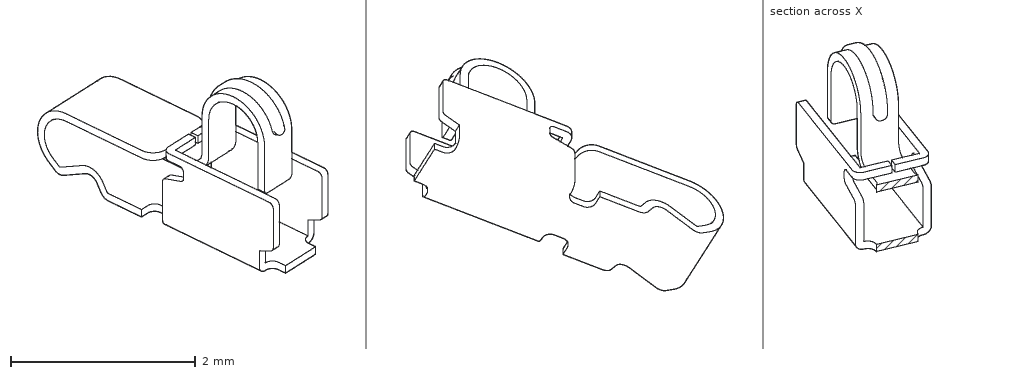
import cadquery as cq
import math

length = 3.4
width = 0.9
height = 2.0
sheet = 0.1

arm_top = 0.87
loop_radius = 0.41
nose_x = 0.323
nose_z = 0.153
nose_radius = 0.017
bump_x = 0.748
bump_radius = 0.225
toe_x = 1.027
toe_radius = 0.035

arm_wide_end = 1.69
arm_corner_radius = 0.185
neck_half_width = 0.225
neck_fillet = 0.055

leg_x = 2.173
arch_radius = 0.452
foot_radius = 0.143
free_leg_bottom = arm_top
free_leg_corner = 0.05

rib_height = 0.05
rib_width = 0.16
rib_edge_radius = 0.03
rib_straight = 0.035
rib_end_angle = 16.5

box_start = 1.802
wall_foot_end = 3.2
wall_top = 1.0
wall_corner_radius = 0.06
wall_step_bottom = 0.303
wall_step_top = 0.39
base_neck_half_width = 0.248
base_notch_start = 1.5
notch_radius = 0.1
bend_radius = 0.095

slot_end = 2.105
slot_lip_height = 0.64
slot_end_height = 0.725
slot_radius = 0.055
tab_gap = 0.04

half_width = width / 2
rib_half_width = rib_width / 2
arm_bottom = arm_top - sheet
loop_x = loop_radius
loop_z = arm_top - loop_radius
arch_x = leg_x + arch_radius
arch_z = height - rib_height - arch_radius
inner_half_width = half_width - sheet
tab_bottom = wall_top - sheet


def polar(centre, radius, angle):
    """Point on a circle, angle in degrees."""
    turn = math.radians(angle)
    return (centre[0] + radius * math.cos(turn), centre[1] + radius * math.sin(turn))


def distance_and_angle(start, end):
    """Length and direction (degrees) of the line between two points."""
    dx = end[0] - start[0]
    dy = end[1] - start[1]
    return math.hypot(dx, dy), math.degrees(math.atan2(dy, dx))


def edge_near(x, y, z):
    """Selector for the one edge whose centre is nearest to a point."""
    return cq.selectors.NearestToPointSelector((x, y, z))


def make_spring():
    """Return loop, nose, bump and toe as one constant-thickness bent strip."""
    loop = (loop_x, loop_z)
    bump = (bump_x, sheet)
    toe = (toe_x, sheet + toe_radius)
    toe_outer = toe_radius + sheet
    nose = (nose_x, nose_z)
    nose_outer = nose_radius + sheet
    loop_inner = loop_radius - sheet
    bump_inner = bump_radius - sheet

    nose_reach, nose_direction = distance_and_angle(loop, nose)
    nose_tilt = math.degrees(math.acos((loop_inner - nose_radius) / nose_reach))
    nose_angle = nose_direction % 360 - nose_tilt
    bump_reach, bump_direction = distance_and_angle(nose, bump)
    bump_tilt = math.degrees(math.asin((bump_radius + nose_radius) / bump_reach))
    nose_normal = bump_direction + bump_tilt + 90
    toe_reach, toe_direction = distance_and_angle(bump, toe)
    toe_tilt = math.degrees(math.acos((bump_radius + toe_radius) / toe_reach))
    toe_normal = toe_direction + toe_tilt

    loop_mid = (90 + nose_angle) / 2
    bump_mid = (nose_normal + toe_normal) / 2
    nose_mid = (nose_angle + nose_normal + 180) / 2
    toe_mid = (toe_normal + 180 + 270) / 2
    profile = (
        cq.Workplane("XZ")
        .moveTo(loop_x, arm_top)
        .threePointArc(polar(loop, loop_radius, loop_mid), polar(loop, loop_radius, nose_angle))
        .lineTo(*polar(nose, nose_outer, nose_angle))
        .threePointArc(polar(nose, nose_outer, nose_mid), polar(nose, nose_outer, nose_normal + 180))
        .lineTo(*polar(bump, bump_inner, nose_normal))
        .threePointArc(polar(bump, bump_inner, bump_mid), polar(bump, bump_inner, toe_normal))
        .lineTo(*polar(toe, toe_outer, toe_normal + 180))
        .threePointArc(polar(toe, toe_outer, toe_mid), (toe_x, 0))
        .lineTo(base_notch_start, 0)
        .lineTo(base_notch_start, sheet)
        .lineTo(toe_x, sheet)
        .threePointArc(polar(toe, toe_radius, toe_mid), polar(toe, toe_radius, toe_normal + 180))
        .lineTo(*polar(bump, bump_radius, toe_normal))
        .threePointArc(polar(bump, bump_radius, bump_mid), polar(bump, bump_radius, nose_normal))
        .lineTo(*polar(nose, nose_radius, nose_normal + 180))
        .threePointArc(polar(nose, nose_radius, nose_mid), polar(nose, nose_radius, nose_angle))
        .lineTo(*polar(loop, loop_inner, nose_angle))
        .threePointArc(polar(loop, loop_inner, loop_mid), (loop_x, arm_bottom))
        .close()
    )
    return profile.extrude(half_width, both=True)


def make_arm():
    """Flat upper arm, narrowing to the neck that carries the arch."""
    foot_start = leg_x - foot_radius
    outline = [
        (loop_x, -half_width),
        (arm_wide_end, -half_width),
        (arm_wide_end, -neck_half_width),
        (foot_start, -neck_half_width),
        (foot_start, neck_half_width),
        (arm_wide_end, neck_half_width),
        (arm_wide_end, half_width),
        (loop_x, half_width),
    ]
    arm = cq.Workplane("XY", origin=(0, 0, arm_bottom)).polyline(outline).close().extrude(sheet)
    arm_middle = arm_bottom + sheet / 2
    for side in (-1, 1):
        wide_corner = edge_near(arm_wide_end, side * half_width, arm_middle)
        neck_corner = edge_near(arm_wide_end, side * neck_half_width, arm_middle)
        arm = arm.edges(wide_corner).fillet(arm_corner_radius)
        arm = arm.edges(neck_corner).fillet(neck_fillet)
    return arm


def make_arch():
    """Bend up from the arm, left leg, half-round top and free right leg."""
    bend = (leg_x - foot_radius, arm_top + foot_radius)
    arch = (arch_x, arch_z)
    arch_inner = arch_radius - sheet
    bend_outer = foot_radius + sheet
    profile = (
        cq.Workplane("XZ")
        .moveTo(bend[0], arm_top)
        .threePointArc(polar(bend, foot_radius, -45), (leg_x, bend[1]))
        .lineTo(leg_x, arch_z)
        .threePointArc(polar(arch, arch_radius, 90), (arch_x + arch_radius, arch_z))
        .lineTo(arch_x + arch_radius, free_leg_bottom)
        .lineTo(arch_x + arch_inner, free_leg_bottom)
        .lineTo(arch_x + arch_inner, arch_z)
        .threePointArc(polar(arch, arch_inner, 90), (leg_x + sheet, arch_z))
        .lineTo(leg_x + sheet, bend[1])
        .threePointArc(polar(bend, bend_outer, -45), (bend[0], arm_bottom))
        .close()
    )
    body = profile.extrude(neck_half_width, both=True)
    for side in (-1, 1):
        corner = edge_near(arch_x + arch_radius - sheet / 2, side * neck_half_width, free_leg_bottom)
        body = body.edges(corner).fillet(free_leg_corner)
    return body


def rib_section_plane(angle, drop=0.0):
    """Radial plane of the arch: local x lies across the strip, local y points outward."""
    outward = polar((0, 0), 1, angle)
    return cq.Plane(
        origin=(arch_x, 0, arch_z - drop),
        xDir=(0, 1, 0),
        normal=(outward[1], 0, -outward[0]),
    )


def rib_half_section(plane):
    """Half of the round-shouldered rib section, rooted inside the strip."""
    root = arch_radius - sheet / 2
    top = arch_radius + rib_height
    shoulder = (rib_half_width - rib_edge_radius, top - rib_edge_radius)
    return (
        cq.Workplane(plane)
        .moveTo(0, root)
        .lineTo(rib_half_width, root)
        .lineTo(rib_half_width, shoulder[1])
        .threePointArc(polar(shoulder, rib_edge_radius, 45), (shoulder[0], top))
        .lineTo(0, top)
        .close()
    )


def rib_tip_cylinder(plane):
    """Cylinder along the outward direction that rounds a rib end in plan."""
    across = cq.Workplane(plane).transformed(rotate=(-90, 0, 0))
    return across.circle(rib_half_width).extrude(2 * arch_radius)


def make_rib():
    """Raised rib over the arch and down the left leg, with rounded ends."""
    arch_end = rib_section_plane(rib_end_angle)
    half_arch = rib_half_section(arch_end).revolve(180 - rib_end_angle, (0, 0), (-1, 0))
    arch_tip = rib_half_section(arch_end).revolve(rib_end_angle, (0, 0), (1, 0))
    half_arch = half_arch.union(arch_tip.intersect(rib_tip_cylinder(arch_end)))

    leg_start = rib_section_plane(0)
    leg_end = rib_section_plane(0, drop=rib_straight)
    leg_tip = rib_half_section(leg_end).extrude(rib_half_width).intersect(rib_tip_cylinder(leg_end))
    half_leg = rib_half_section(leg_start).extrude(rib_straight).union(leg_tip)
    half_leg = half_leg.mirror("YZ", (arch_x, 0, 0))

    half = half_arch.union(half_leg)
    return half.union(half.mirror("XZ"))


def make_notch_corner(x, direction, side):
    """Concave fillet in the corner between the base neck and a wider part of the base."""
    y = side * base_neck_half_width
    reach = direction * notch_radius
    rise = side * notch_radius
    centre = (x + reach, y + rise)
    mid = (
        centre[0] - reach * math.sqrt(0.5),
        centre[1] - rise * math.sqrt(0.5),
    )
    return (
        cq.Workplane("XY")
        .moveTo(x, y)
        .lineTo(x + reach, y)
        .threePointArc(mid, (x, y + rise))
        .close()
        .extrude(sheet)
    )


def make_base():
    """Flat base, necked on each side of the walls by notches with rounded corners."""
    neck = cq.Workplane("XY").box(
        length - base_notch_start, 2 * base_neck_half_width, sheet, centered=(False, True, False)
    ).translate((base_notch_start, 0, 0))
    floor = cq.Workplane("XY").box(
        wall_foot_end - box_start, 2 * inner_half_width, sheet, centered=(False, True, False)
    ).translate((box_start, 0, 0))
    base = neck.union(floor)
    for corner_x, direction in ((base_notch_start, 1), (box_start, -1), (wall_foot_end, 1)):
        for side in (-1, 1):
            base = base.union(make_notch_corner(corner_x, direction, side))
    return base


def make_wall():
    """Side wall on the -Y side, bent up from the base, with its slot and closing tab."""
    outline = [
        (box_start, 0),
        (wall_foot_end, 0),
        (wall_foot_end, wall_step_bottom),
        (length, wall_step_top),
        (length, wall_top),
        (box_start, wall_top),
        (box_start, tab_bottom),
        (slot_end, tab_bottom),
        (slot_end, slot_end_height),
        (box_start, slot_lip_height),
    ]
    wall = cq.Workplane("XZ", origin=(0, -inner_half_width, 0)).polyline(outline).close().extrude(sheet)
    rounded_corners = (
        ((length, wall_step_top), wall_corner_radius),
        ((length, wall_top), wall_corner_radius),
        ((slot_end, tab_bottom), slot_radius),
        ((slot_end, slot_end_height), slot_radius),
        ((box_start, slot_lip_height), wall_corner_radius),
    )
    for (x, z), radius in rounded_corners:
        wall = wall.edges(edge_near(x, -half_width + sheet / 2, z)).fillet(radius)
    wall = wall.edges("<Z and <Y").fillet(bend_radius)

    tab = cq.Workplane("XY").box(
        sheet, half_width - tab_gap / 2, sheet, centered=False
    ).translate((box_start, -half_width, tab_bottom))
    wall = wall.union(tab)
    return wall.edges(edge_near(box_start, -half_width, wall_top - sheet / 2)).fillet(bend_radius)


wall = make_wall()
result = (
    make_spring()
    .union(make_arm())
    .union(make_arch())
    .union(make_rib())
    .union(make_base())
    .union(wall)
    .union(wall.mirror("XZ"))
)